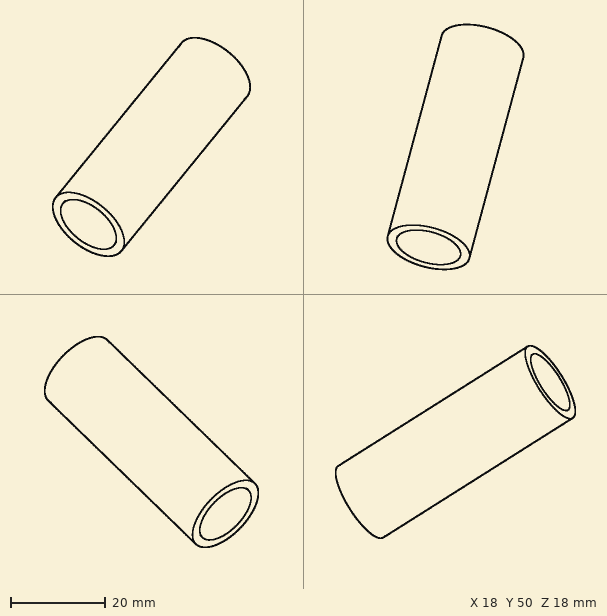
import cadquery as cq

outer_diameter = 18.0
wall_thickness = 2.0
length = 50.0

inner_diameter = outer_diameter - 2 * wall_thickness

result = (
    cq.Workplane("XZ", origin=(0, length / 2, 0))
    .circle(outer_diameter / 2)
    .circle(inner_diameter / 2)
    .extrude(length)
)